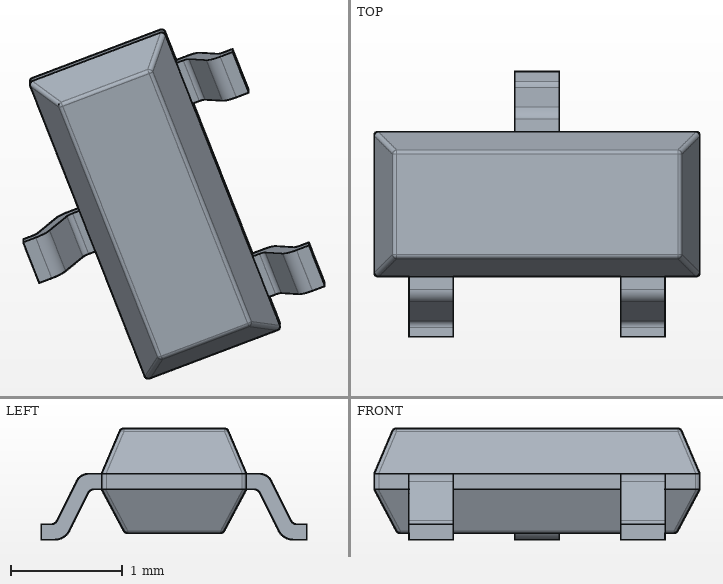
import cadquery as cq
import math

body_length = 2.92
body_depth = 1.3
part_height = 1.0
body_bottom = 0.058
upper_draft = 23.0
lower_draft = 28.0
edge_radius = 0.04

lead_span = 2.38
lead_width = 0.4
lead_thickness = 0.14
lead_top = 0.593
lead_slope = 63.6
shoulder_length = 0.19
lead_embed = 0.088
inner_bend_radius = 0.06
outer_bend_radius = 0.12
heel_radius = 0.15
lead_pitch = 1.898

band_top = lead_top
band_bottom = lead_top - lead_thickness


def tapered_half(start, end, draft):
    """Frustum from the band to an end face, with its free edges rounded."""
    height = abs(end - start)
    inset = height * math.tan(math.radians(draft))
    half = (
        cq.Workplane("XY", origin=(0, 0, start))
        .rect(body_length, body_depth)
        .workplane(offset=end - start)
        .rect(body_length - 2 * inset, body_depth - 2 * inset)
        .loft(combine=True)
    )
    end_face = ">Z" if end > start else "<Z"
    band_face = "<Z" if end > start else ">Z"
    return half.edges(f"(not ({band_face})) or ({end_face})").fillet(edge_radius)


def make_body():
    band = (
        cq.Workplane("XY", origin=(0, 0, band_bottom))
        .rect(body_length, body_depth)
        .extrude(lead_thickness)
        .edges("|Z")
        .fillet(edge_radius)
    )
    upper = tapered_half(band_top, part_height, upper_draft)
    lower = tapered_half(band_bottom, body_bottom, lower_draft)
    return band.union(upper).union(lower)


def make_lead(x_center):
    """Lead leaving the -Y face of the body, centred on x_center."""
    slope = math.radians(lead_slope)
    bend_shift = lead_thickness * math.tan(slope / 2)
    slope_run = (lead_top - lead_thickness) / math.tan(slope)
    body_face = -body_depth / 2
    root = body_face + lead_embed
    tip = -lead_span / 2
    upper_bend = body_face - shoulder_length
    foot_bend = upper_bend - slope_run
    lead = (
        cq.Workplane("YZ", origin=(x_center - lead_width / 2, 0, 0))
        .moveTo(root, lead_top)
        .lineTo(upper_bend, lead_top)
        .lineTo(foot_bend, lead_thickness)
        .lineTo(tip, lead_thickness)
        .lineTo(tip, 0)
        .lineTo(foot_bend + bend_shift, 0)
        .lineTo(upper_bend + bend_shift, band_bottom)
        .lineTo(root, band_bottom)
        .close()
        .extrude(lead_width)
    )

    def round_bend(solid, y, z, radius):
        nearest = cq.selectors.NearestToPointSelector((x_center, y, z))
        return solid.edges("|X").edges(nearest).fillet(radius)

    lead = round_bend(lead, upper_bend, lead_top, outer_bend_radius)
    lead = round_bend(lead, foot_bend, lead_thickness, inner_bend_radius)
    lead = round_bend(lead, foot_bend + bend_shift, 0, heel_radius)
    return round_bend(lead, upper_bend + bend_shift, band_bottom, inner_bend_radius)


result = make_body()
for x_center in (-lead_pitch / 2, lead_pitch / 2):
    result = result.union(make_lead(x_center))

rear_lead = make_lead(0).mirror("XZ")
result = result.union(rear_lead)